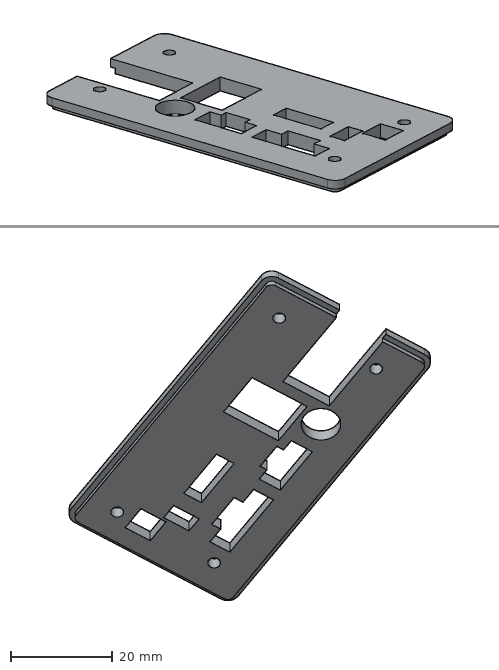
import cadquery as cq

length = 73.0
width = 39.5
thickness = 3.0
corner_radius = 2.5
lip_height = 1.2
lip_inset = 1.2

hole_diameter = 2.5
hole_x = 29.0
hole_rear_y = 12.2
hole_front_y = -10.7

round_diameter = 7.8
round_center = (-11.45, -9.3)

slot_end_x = -16.2
slot_front_y = -8.1
slot_rear_y = 2.85

large_window = (-13.65, -3.4, -4.5, 8.5)
wide_window = (6.1, 17.8, -0.4, 3.8)
narrow_window = (21.45, 25.05, -2.2, 3.8)
square_window = (25.7, 31.3, 2.85, 8.75)

key_rear_y = -5.05
small_body = (-4.8, 6.65, -11.6, -6.65)
small_key_width = 5.9
large_body = (9.4, 25.05, -11.8, -7.15)
large_key_width = 7.95


def rounded_plate(plate_length, plate_width, height, radius):
    """Plate standing on Z = 0 with rounded vertical corners."""
    plate = cq.Workplane("XY").box(plate_length, plate_width, height, centered=(True, True, False))
    return plate.edges("|Z").fillet(radius)


def window(left, right, front, rear):
    """Rectangular cutter through the full thickness."""
    center = ((left + right) / 2, (front + rear) / 2)
    return cq.Workplane("XY").center(*center).rect(right - left, rear - front).extrude(thickness)


def keyed_window(body, key_width):
    """Wide cutter with a narrower key centred on its rear side."""
    left, right, front, rear = body
    center_x = (left + right) / 2
    key = window(center_x - key_width / 2, center_x + key_width / 2, front, key_rear_y)
    return window(left, right, front, rear).union(key)


lip = rounded_plate(length - 2 * lip_inset, width - 2 * lip_inset, lip_height, corner_radius - lip_inset)
flange = rounded_plate(length, width, thickness - lip_height, corner_radius)
plate = lip.union(flange.translate((0, 0, lip_height)))

cutters = [
    window(-length / 2, slot_end_x, slot_front_y, slot_rear_y),
    window(*large_window),
    window(*wide_window),
    window(*narrow_window),
    window(*square_window),
    keyed_window(small_body, small_key_width),
    keyed_window(large_body, large_key_width),
]
for cutter in cutters:
    plate = plate.cut(cutter)

hole_centers = [(x, y) for x in (-hole_x, hole_x) for y in (hole_front_y, hole_rear_y)]
holes = cq.Workplane("XY").pushPoints(hole_centers).circle(hole_diameter / 2).extrude(thickness)
round_opening = cq.Workplane("XY").center(*round_center).circle(round_diameter / 2).extrude(thickness)

result = plate.cut(holes).cut(round_opening)